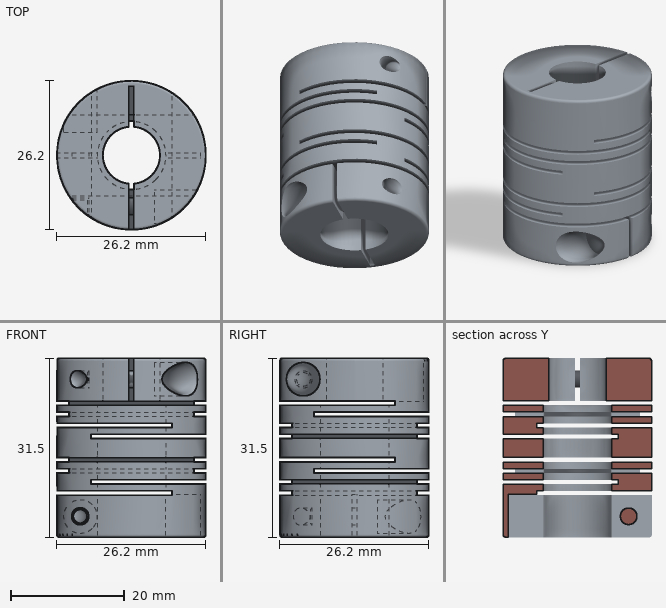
import cadquery as cq

outer_diameter = 26.2
length = 31.5
rim_fillet = 0.5
upper_bore_diameter = 10.0
lower_bore_diameter = 12.0

slot_thickness = 0.72
slot_reach = 7.1
slot_pitch = 1.95
group_spacing = 9.95
clamp_height = 7.55
upper_group_angles = [0, 180, -90, 90]
lower_group_angles = [0, 180, 90, -90]

slit_width = 0.86
slit_reach = 12.1

screw_offset = 9.0
screw_end_distance = 3.7
screw_diameter = 3.0
screw_tip_chamfer = 0.3
screw_tip_position = 7.8
counterbore_diameter = 5.9
counterbore_floor = 4.0

outer_radius = outer_diameter / 2


def make_sleeve():
    """Round sleeve with rounded rims and a bore that steps at the upper clamp."""
    sleeve = cq.Workplane("XY").circle(outer_radius).extrude(length)
    sleeve = sleeve.edges("%CIRCLE").fillet(rim_fillet)
    lower_bore = cq.Workplane("XY").circle(lower_bore_diameter / 2).extrude(length - clamp_height)
    upper_bore = cq.Workplane("XY").circle(upper_bore_diameter / 2).extrude(length)
    return sleeve.cut(lower_bore).cut(upper_bore)


def side_cutter(width, height, reach, bottom, angle):
    """Box entering from the -Y side and stopping at `reach` past the axis, turned about Z."""
    box = cq.Workplane("XY").box(width, outer_diameter + reach, height, centered=(True, False, False))
    return box.translate((0, -outer_diameter, bottom)).rotate((0, 0, 0), (0, 0, 1), angle)


def cut_slot_group(body, first_slot_top, entry_angles):
    """Cut one group of slots, working down from the top face of its first slot."""
    for index, angle in enumerate(entry_angles):
        bottom = first_slot_top - slot_thickness - index * slot_pitch
        body = body.cut(side_cutter(outer_diameter, slot_thickness, slot_reach, bottom, angle))
    return body


def along_x(diameter, start, end, height):
    """Cylinder parallel to X on the screw axis, running from x = start to x = end."""
    plane = cq.Workplane("YZ", origin=(start, -screw_offset, height))
    return plane.circle(diameter / 2).extrude(end - start)


def make_clamp_cutter(slit_bottom, screw_height):
    """Material removed at one clamp: slit, counterbore and tip hole, less the screw left standing."""
    slit = side_cutter(slit_width, clamp_height, slit_reach, slit_bottom, 0)
    tip_hole = along_x(screw_diameter, -outer_radius, 0, screw_height)
    screw = along_x(screw_diameter, -screw_tip_position, counterbore_floor, screw_height)
    screw = screw.faces("<X").chamfer(screw_tip_chamfer)
    counterbore = along_x(counterbore_diameter, counterbore_floor, outer_radius, screw_height)
    return slit.union(tip_hole).cut(screw).union(counterbore)


def swap_x_and_y(shape):
    """Mirror across the plane x = y, as a mirror across YZ followed by a turn about Z."""
    return shape.mirror("YZ").rotate((0, 0, 0), (0, 0, 1), -90)


upper_clamp_cutter = make_clamp_cutter(length - clamp_height, length - screw_end_distance)
lower_clamp_cutter = swap_x_and_y(make_clamp_cutter(0, screw_end_distance))

result = make_sleeve()
result = cut_slot_group(result, length - clamp_height, upper_group_angles)
result = cut_slot_group(result, length - clamp_height - group_spacing, lower_group_angles)
result = result.cut(upper_clamp_cutter).cut(lower_clamp_cutter)